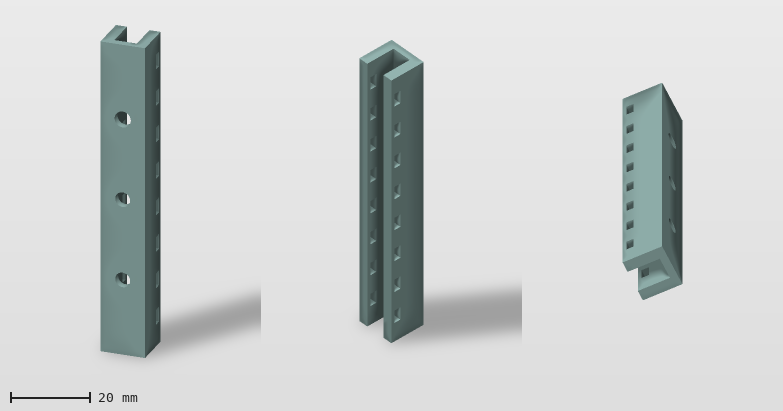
import cadquery as cq

width = 12.0
depth = 11.0
length = 85.0
wall_thickness = 3.0
web_thickness = 2.0

hole_pitch = 22.0
hole_diameter = 4.0
top_hole_diameter = 4.3

slot_count = 8
slot_height = 4.0
slot_width = 2.0
slot_edge_margin = 1.0
bottom_slot_height = 8.0
top_slot_drop = 7.0
slot_pitch = (length - bottom_slot_height - top_slot_drop) / (slot_count - 1)


def make_channel():
    """U-shaped bar centred on the Z axis in X, with the outer web face at Y = 0."""
    bar = cq.Workplane("XY").box(width, depth, length, centered=(True, False, False))
    groove = (
        cq.Workplane("XY")
        .box(width - 2 * wall_thickness, depth - web_thickness, length, centered=(True, False, False))
        .translate((0, web_thickness, 0))
    )
    return bar.cut(groove)


def make_web_hole(height, diameter):
    """Round cutter along Y, as long as the web is thick."""
    return (
        cq.Workplane("XZ", origin=(0, 0, height))
        .circle(diameter / 2)
        .extrude(-web_thickness)
    )


def make_slot(height):
    """Rectangular cutter that crosses both side walls near their free edges."""
    slot_y = depth - slot_edge_margin - slot_width / 2
    return cq.Workplane("XY").box(width, slot_width, slot_height).translate((0, slot_y, height))


result = make_channel()

middle = length / 2
for offset, diameter in (
    (-hole_pitch, hole_diameter),
    (0, hole_diameter),
    (hole_pitch, top_hole_diameter),
):
    result = result.cut(make_web_hole(middle + offset, diameter))

for index in range(slot_count):
    result = result.cut(make_slot(bottom_slot_height + index * slot_pitch))